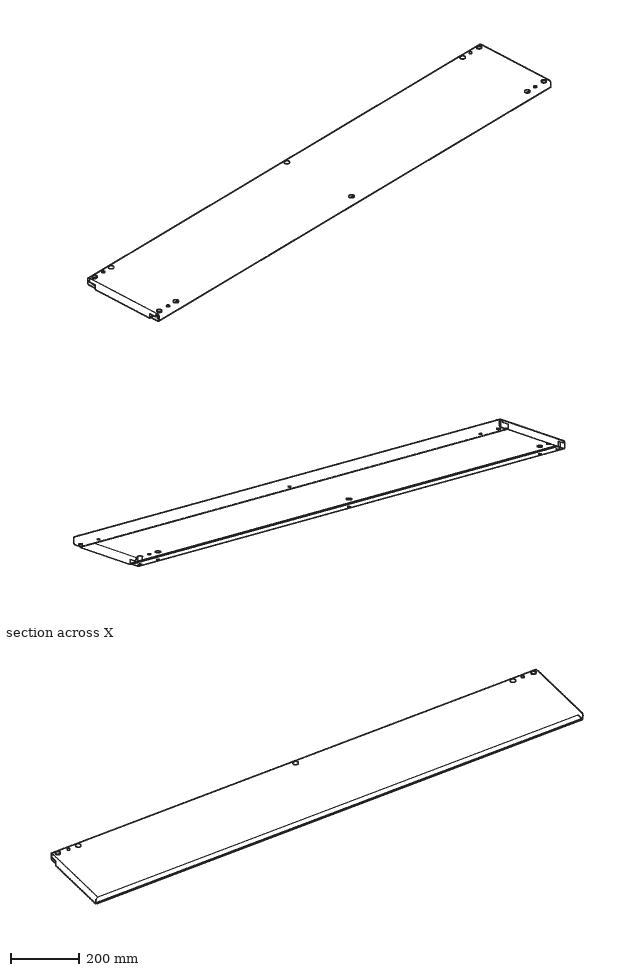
import cadquery as cq

length = 1688.0
width = 289.0
height = 27.0

sheet = 2.0
bend_radius = 7.0
inner_radius = bend_radius - sheet

side_end_gap = 5.0
lip_width = 34.0
hem_height = 5.0

end_strip_width = 267.0
end_wall_width = 220.0
end_strip_height = 10.0

hole_x = 130.0
bushing_y = 824.0
pilot_y = 787.0
mount_y = 753.0
pilot_diameter = 10.0
mount_diameter = 17.0
mount_lip_diameter = 8.0

head_diameter = 17.0
head_height = 0.8
shank_diameter = 15.0
bushing_bore = 12.0
bushing_height = 20.0

panel_top = height - head_height
half_width = width / 2
half_length = length / 2


def corner_points(x, y):
    """The four places at distance x and y from the middle of the panel."""
    return [(side_x * x, side_y * y) for side_x in (-1, 1) for side_y in (-1, 1)]


def side_section():
    """Section of the folded sheet across the width, from the centre line to the +X side."""
    bend_x = half_width - bend_radius
    inner_x = half_width - sheet
    lip_x = half_width - lip_width
    return (
        cq.Workplane("XZ")
        .moveTo(0, panel_top)
        .lineTo(bend_x, panel_top)
        .radiusArc((half_width, panel_top - bend_radius), bend_radius)
        .lineTo(half_width, bend_radius)
        .radiusArc((bend_x, 0), bend_radius)
        .lineTo(lip_x, 0)
        .lineTo(lip_x, hem_height)
        .lineTo(lip_x + sheet, hem_height)
        .lineTo(lip_x + sheet, sheet)
        .lineTo(bend_x, sheet)
        .radiusArc((inner_x, bend_radius), -inner_radius)
        .lineTo(inner_x, panel_top - bend_radius)
        .radiusArc((bend_x, panel_top - sheet), -inner_radius)
        .lineTo(0, panel_top - sheet)
        .close()
    )


def end_section():
    """Section of the folded end along the length, from the panel middle to the +Y end."""
    bend_y = half_length - bend_radius
    inner_y = half_length - sheet
    return (
        cq.Workplane("YZ")
        .moveTo(0, panel_top)
        .lineTo(bend_y, panel_top)
        .radiusArc((half_length, panel_top - bend_radius), bend_radius)
        .lineTo(half_length, 0)
        .lineTo(inner_y, 0)
        .lineTo(inner_y, panel_top - bend_radius)
        .radiusArc((bend_y, panel_top - sheet), -inner_radius)
        .lineTo(0, panel_top - sheet)
        .close()
    )


def end_wall_reliefs():
    """Blocks that narrow the end walls below their bend strips."""
    relief_width = (end_strip_width - end_wall_width) / 2
    relief_x = (end_strip_width + end_wall_width) / 4
    return (
        cq.Workplane("XY")
        .pushPoints(corner_points(relief_x, half_length))
        .rect(relief_width, 2 * bend_radius)
        .extrude(panel_top - end_strip_height)
    )


def drills(points, diameter, start_z):
    """Cylinders half a panel tall, reaching either the lip or the top sheet."""
    return (
        cq.Workplane("XY", origin=(0, 0, start_z))
        .pushPoints(points)
        .circle(diameter / 2)
        .extrude(panel_top / 2)
    )


def folded_sheet():
    """Top sheet with both long sides and both ends folded down."""
    plus_side = side_section().extrude(half_length - side_end_gap, both=True)
    plus_end = end_section().extrude(end_strip_width / 2, both=True)
    sides = plus_side.union(plus_side.mirror("YZ"))
    ends = plus_end.union(plus_end.mirror("XZ")).cut(end_wall_reliefs())
    return sides.union(ends)


def make_panel():
    bushing_points = corner_points(hole_x, bushing_y)
    pilot_points = corner_points(hole_x, pilot_y)
    mount_points = corner_points(hole_x, mount_y) + [(-hole_x, 0), (hole_x, 0)]
    top_start = panel_top / 2
    return (
        folded_sheet()
        .cut(drills(bushing_points, shank_diameter, top_start))
        .cut(drills(bushing_points, bushing_bore, 0))
        .cut(drills(pilot_points, pilot_diameter, top_start))
        .cut(drills(mount_points, mount_diameter, top_start))
        .cut(drills(mount_points, mount_lip_diameter, 0))
    )


def make_bushing(x, y):
    """One bushing, its head resting on the panel and its shank hanging through it."""
    head = cq.Workplane("XY", origin=(x, y, panel_top)).circle(head_diameter / 2).extrude(head_height)
    body = cq.Workplane("XY", origin=(x, y, height)).circle(shank_diameter / 2).extrude(-bushing_height)
    bore = cq.Workplane("XY", origin=(x, y, height)).circle(bushing_bore / 2).extrude(-bushing_height)
    return head.union(body).cut(bore)


panel = make_panel()
bushings = [make_bushing(x, y) for x, y in corner_points(hole_x, bushing_y)]

result = cq.Compound.makeCompound([panel.solids().val(), *[bushing.solids().val() for bushing in bushings]])